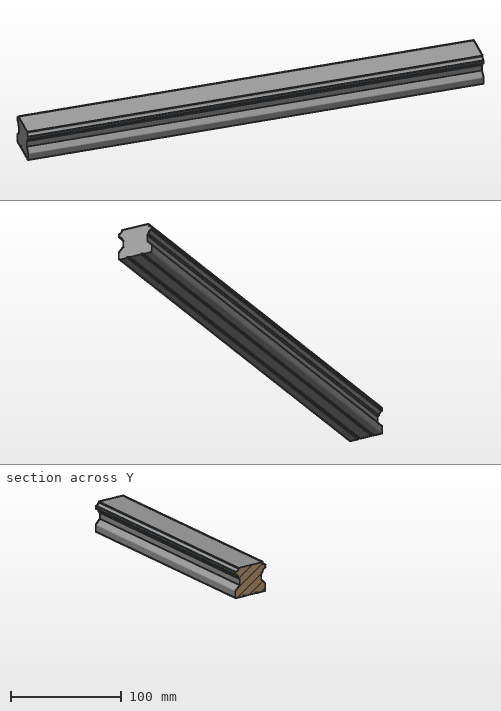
import cadquery as cq
import math

rail_length = 430.0
rail_width = 34.0
rail_height = 29.0
half_width = rail_width / 2

head_half_width = 13.6
head_wall_height = 0.8
lip_top_z = 25.5
lip_bottom_z = 22.8
lip_edge_x = 16.2
upper_track_radius = 4.0
lower_track_radius = 5.0
lower_track_end_z = 19.2

web_half_width = 12.3
web_top_z = lower_track_end_z - (head_half_width - web_half_width)
web_bottom_z = 12.1

foot_wall_top_z = web_bottom_z - (half_width - web_half_width)
foot_corner_radius = 1.5

groove_offset = 7.1
groove_width = 1.8
groove_depth = 0.8
relief_depth = 0.2


def hollow_point(start, end, radius):
    """Middle point of the arc from start to end that hollows the +X side inward."""
    dx = end[0] - start[0]
    dz = end[1] - start[1]
    chord = math.hypot(dx, dz)
    sagitta = radius - math.sqrt(radius**2 - (chord / 2) ** 2)
    mid_x = (start[0] + end[0]) / 2
    mid_z = (start[1] + end[1]) / 2
    return (mid_x + sagitta * dz / chord, mid_z - sagitta * dx / chord)


def make_half_rail():
    """The +X half of the rail, extruded symmetrically along Y, foot corners rounded."""
    upper_track_start = (head_half_width, rail_height - head_wall_height)
    upper_track_end = (lip_edge_x, lip_top_z)
    lower_track_start = (lip_edge_x, lip_bottom_z)
    lower_track_end = (head_half_width, lower_track_end_z)
    groove_inner_x = groove_offset - groove_width / 2
    groove_outer_x = groove_offset + groove_width / 2
    profile = (
        cq.Workplane("XZ")
        .moveTo(0, rail_height)
        .lineTo(head_half_width, rail_height)
        .lineTo(*upper_track_start)
        .threePointArc(hollow_point(upper_track_start, upper_track_end, upper_track_radius), upper_track_end)
        .lineTo(half_width, lip_top_z)
        .lineTo(half_width, lip_bottom_z)
        .lineTo(*lower_track_start)
        .threePointArc(hollow_point(lower_track_start, lower_track_end, lower_track_radius), lower_track_end)
        .lineTo(web_half_width, web_top_z)
        .lineTo(web_half_width, web_bottom_z)
        .lineTo(half_width, foot_wall_top_z)
        .lineTo(half_width, 0)
        .lineTo(groove_outer_x, 0)
        .lineTo(groove_outer_x, groove_depth)
        .lineTo(groove_inner_x, groove_depth)
        .lineTo(groove_inner_x, relief_depth)
        .lineTo(0, relief_depth)
        .close()
    )
    half_rail = profile.extrude(rail_length / 2, both=True)
    corner_zone = cq.selectors.BoxSelector(
        (half_width - foot_corner_radius, -rail_length, -foot_corner_radius),
        (half_width + foot_corner_radius, rail_length, foot_wall_top_z + foot_corner_radius),
    )
    return half_rail.edges("|Y").edges(corner_zone).fillet(foot_corner_radius)


half_rail = make_half_rail()
result = half_rail.union(half_rail.mirror("YZ")).clean()